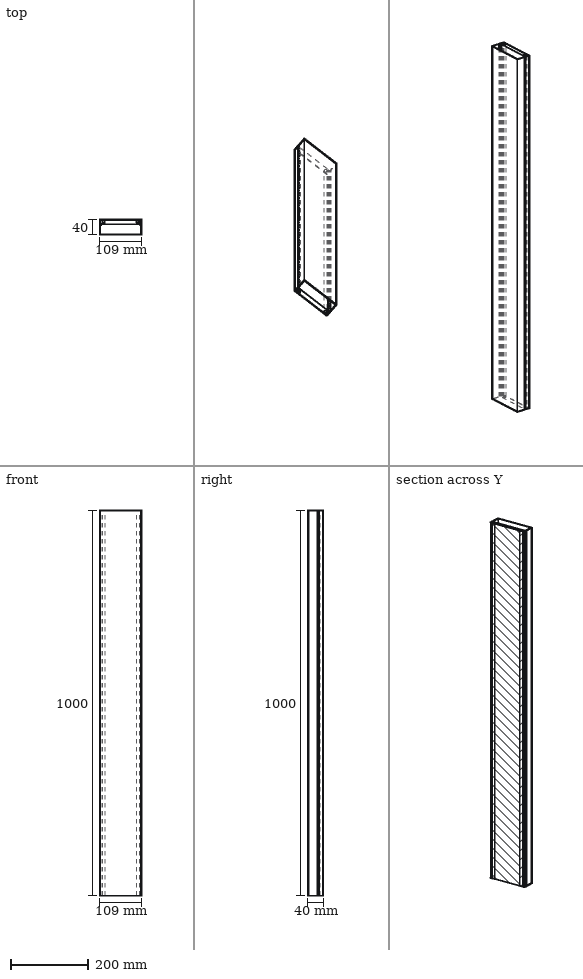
import cadquery as cq

length = 1000.0
width = 109.0
depth = 40.0

wall = 2.0
back_skin = 1.5

groove_depth = 2.0
groove_height = 3.0

board_front_inset = 13.0
ledge_thickness = 2.0
ledge_width = 4.0
rod_radius = 3.5
rod_inset_x = 10.0
rod_inset_y = 6.0

half_width = width / 2
back = depth / 2
front = -depth / 2
seat = back - board_front_inset
inner_half_width = half_width - wall
front_half_width = inner_half_width - ledge_width
rod_x = half_width - rod_inset_x
rod_y = back - rod_inset_y


def prism(points):
    """Extrude an XY outline along the full length."""
    return cq.Workplane("XY").workplane(offset=-length / 2).polyline(points).close().extrude(length)


def mirrored_outline(right_half):
    """Complete an outline from its right half, listed from front to back."""
    return right_half + [(-x, y) for x, y in reversed(right_half)]


def board_envelope():
    """Stepped block that spans the side walls and narrows between the ledges at its front."""
    return prism(mirrored_outline([
        (front_half_width, seat),
        (front_half_width, seat + ledge_thickness),
        (inner_half_width, seat + ledge_thickness),
        (inner_half_width, back - back_skin),
    ]))


def make_rod(side):
    """Round rod running the full length of the board; side is -1 or 1."""
    return (
        cq.Workplane("XY")
        .workplane(offset=-length / 2)
        .center(side * rod_x, rod_y)
        .circle(rod_radius)
        .extrude(length)
    )


def make_board(rods):
    """Stepped board with a matching bore for each rod."""
    board = board_envelope()
    for rod in rods:
        board = board.cut(rod)
    return board


def make_housing():
    """Hollow extrusion with grooved sides and inner ledges, open behind the duct for the board."""
    outer = prism(mirrored_outline([
        (half_width, front),
        (half_width, seat - groove_height),
        (half_width - groove_depth, seat),
        (half_width, seat),
        (half_width, back),
    ]))
    duct = prism(mirrored_outline([
        (inner_half_width, front + wall),
        (inner_half_width, seat - groove_height),
        (front_half_width, seat),
    ]))
    return outer.cut(duct).cut(board_envelope())


rods = [make_rod(side) for side in (-1, 1)]
board = make_board(rods)
housing = make_housing()

result = cq.Compound.makeCompound([housing.val(), board.val(), *[rod.val() for rod in rods]])